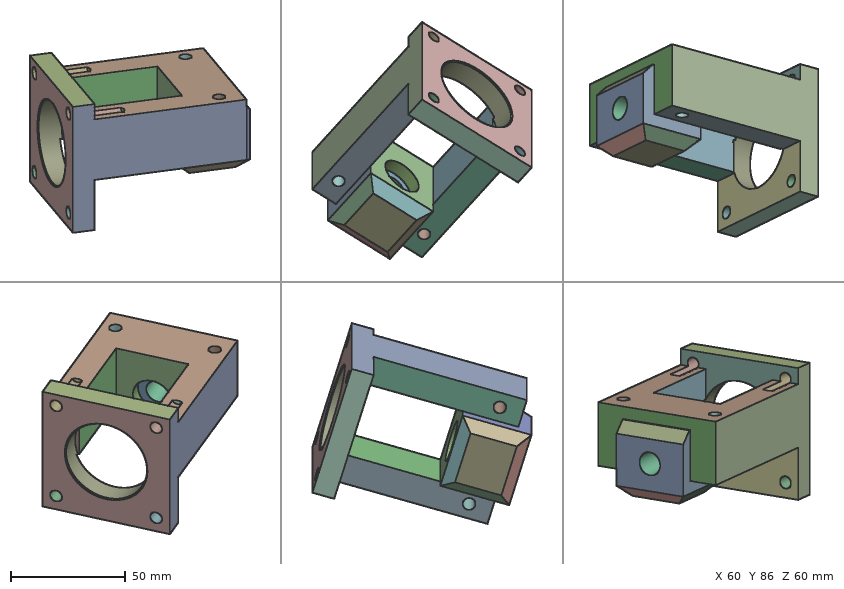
import cadquery as cq
import math

flange_side = 60.0
flange_thickness = 10.0

frame_end = 80.0
frame_top = 22.7
frame_bottom = -6.2

block_side = 34.05
block_front = 54.5
block_end = 86.0
block_chamfer = 5.2

axis_height = 0.6
flange_bore_diameter = 38.0
flange_bore_depth = 11.0
flange_bore_chamfer = 0.5
shaft_diameter = 10.5
recess_diameter = 18.3
recess_depth = 6.0

flange_hole_diameter = 5.6
flange_hole_offset = 23.6
flange_hole_depth = 24.9
drill_point_angle = 118.0
frame_hole_diameter = 5.5
frame_hole_offset = 23.4
frame_hole_y = 69.6


def box_between(width, y_start, y_end, z_bottom, z_top):
    """Box centred on X = 0 between the given Y and Z limits."""
    size_y = y_end - y_start
    size_z = z_top - z_bottom
    box = cq.Workplane("XY").box(width, size_y, size_z, centered=(True, False, False))
    return box.translate((0, y_start, z_bottom))


def cylinder_along_y(diameter, y_start, y_end, x=0, z=axis_height):
    start = cq.Vector(x, y_start, z)
    return cq.Workplane(cq.Solid.makeCylinder(diameter / 2, y_end - y_start, start, cq.Vector(0, 1, 0)))


def cone_along_y(start_diameter, end_diameter, y_start, length, x=0, z=axis_height):
    start = cq.Vector(x, y_start, z)
    cone = cq.Solid.makeCone(start_diameter / 2, end_diameter / 2, length, start, cq.Vector(0, 1, 0))
    return cq.Workplane(cone)


def make_bearing_block():
    block = box_between(block_side, block_front, block_end, -block_side / 2, block_side / 2)
    block = block.faces("<Z").chamfer(block_chamfer)
    return block.faces(">Z").edges(">Y").chamfer(block_chamfer)


def make_flange_hole(x, z):
    """Blind drilled hole with a conical end."""
    tip_length = flange_hole_diameter / 2 / math.tan(math.radians(drill_point_angle / 2))
    shank = cylinder_along_y(flange_hole_diameter, 0, flange_hole_depth, x, z)
    tip = cone_along_y(flange_hole_diameter, 0, flange_hole_depth, tip_length, x, z)
    return shank.union(tip)


flange = box_between(flange_side, 0, flange_thickness, -flange_side / 2, flange_side / 2)
frame = box_between(flange_side, flange_thickness, frame_end, frame_bottom, frame_top)
window = box_between(block_side, flange_thickness, block_front, frame_bottom, frame_top)
result = flange.union(frame.cut(window)).union(make_bearing_block())

chamfer_diameter = flange_bore_diameter + 2 * flange_bore_chamfer
result = result.cut(cylinder_along_y(flange_bore_diameter, 0, flange_bore_depth))
result = result.cut(cone_along_y(chamfer_diameter, flange_bore_diameter, 0, flange_bore_chamfer))

result = result.cut(cylinder_along_y(shaft_diameter, block_front, block_end))
result = result.cut(cylinder_along_y(recess_diameter, block_front, block_front + recess_depth))

for x_side in (-1, 1):
    for z_side in (-1, 1):
        hole_z = axis_height + z_side * flange_hole_offset
        result = result.cut(make_flange_hole(x_side * flange_hole_offset, hole_z))

for x_side in (-1, 1):
    hole = cq.Workplane("XY", origin=(x_side * frame_hole_offset, frame_hole_y, frame_bottom))
    result = result.cut(hole.circle(frame_hole_diameter / 2).extrude(frame_top - frame_bottom))